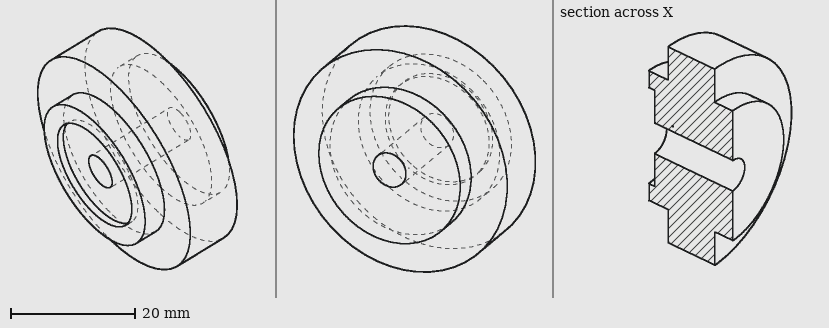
import cadquery as cq

wheel_diameter = 39.0
hub_diameter = 25.8
recess_diameter = 19.0
bore_diameter = 6.0

total_length = 17.5
wheel_width = 9.75
front_hub_length = 4.0
recess_depth = 1.2

front_y = -total_length / 2
wheel_front_y = front_y + front_hub_length


def disc(diameter, start_y, length):
    """Solid cylinder along +Y, starting at start_y."""
    plane = cq.Workplane("XZ", origin=(0, start_y, 0))
    return plane.circle(diameter / 2).extrude(-length)


hub = disc(hub_diameter, front_y, total_length)
wheel = disc(wheel_diameter, wheel_front_y, wheel_width)

recess = disc(recess_diameter, front_y, recess_depth)
bore = disc(bore_diameter, front_y, total_length)

result = hub.union(wheel).cut(recess).cut(bore)